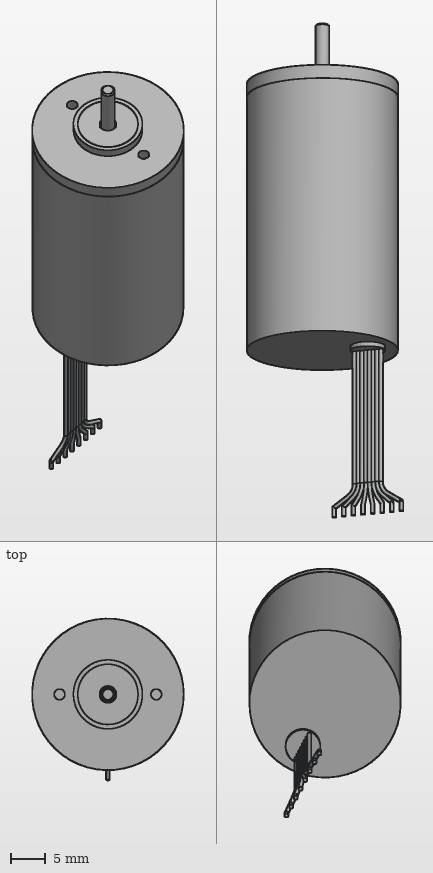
import cadquery as cq
import math


sleeve_diameter = 21.9
body_length = 39.9
cap_diameter = 22.0
cap_thickness = 2.0

boss_diameter = 10.0
boss_height = 1.3
boss_recess_diameter = 8.7
boss_recess_depth = 0.1
shaft_diameter = 2.0
shaft_extension = 7.6
shaft_chamfer = 0.2
shaft_clearance_diameter = 2.45

mount_hole_diameter = 1.55
pitch_circle_diameter = 14.0

cable_offset = pitch_circle_diameter / 2
gland_diameter = 5.0
gland_height = 0.7

wire_count = 8
wire_diameter = 0.63
wire_pitch = 0.58
ribbon_end_depth = 20.5

lead_diameter = 0.6
lead_pitch = 1.5
fan_height = 3.25
fan_bend_height = 1.2
cable_end_depth = 25.2

cap_bottom = body_length - cap_thickness
boss_top = body_length + boss_height


def cylinder(diameter, bottom, top, x=0, y=0):
    """Vertical cylinder between two heights."""
    return cq.Workplane("XY", origin=(x, y, bottom)).circle(diameter / 2).extrude(top - bottom)


def make_housing():
    """Sleeve and cap with the recessed boss, shaft clearance and mounting holes."""
    housing = cylinder(sleeve_diameter, 0, cap_bottom)
    housing = housing.union(cylinder(cap_diameter, cap_bottom, body_length))
    housing = housing.union(cylinder(boss_diameter, body_length, boss_top))
    housing = housing.cut(cylinder(boss_recess_diameter, boss_top - boss_recess_depth, boss_top))
    housing = housing.cut(cylinder(shaft_clearance_diameter, body_length, boss_top))
    for side in (-1, 1):
        hole_x = side * pitch_circle_diameter / 2
        housing = housing.cut(cylinder(mount_hole_diameter, cap_bottom, body_length, x=hole_x))
    return housing


def make_shaft():
    """Output shaft rooted in the cap and rising through the boss."""
    shaft = cylinder(shaft_diameter, cap_bottom, boss_top + shaft_extension)
    return shaft.faces(">Z").chamfer(shaft_chamfer)


def make_lead(start_y, end_y):
    """Wire end: an arc leaving the ribbon vertically, a tangent slope, then a straight tip."""
    start_z = -ribbon_end_depth
    slope_end_z = start_z - fan_height
    slope_angle = math.atan2(end_y - start_y, fan_height - fan_bend_height)

    radius = fan_bend_height / math.tan(slope_angle / 2)
    arc_middle = (
        start_y + radius * (1 - math.cos(slope_angle / 2)),
        start_z - radius * math.sin(slope_angle / 2),
    )
    arc_end = (
        start_y + radius * (1 - math.cos(slope_angle)),
        start_z - radius * math.sin(slope_angle),
    )
    path = (
        cq.Workplane("YZ")
        .moveTo(start_y, start_z)
        .threePointArc(arc_middle, arc_end)
        .lineTo(end_y, slope_end_z)
        .lineTo(end_y, -cable_end_depth)
    )
    profile = cq.Workplane("XY", origin=(0, start_y, start_z)).circle(lead_diameter / 2)
    return profile.sweep(path, transition="round")


def make_cable():
    """Gland, ribbon of joined wires and their spread ends."""
    cable = cylinder(gland_diameter, -gland_height, 0, y=-cable_offset)
    for index in range(wire_count):
        place = index - (wire_count - 1) / 2
        wire_y = place * wire_pitch - cable_offset
        lead_y = place * lead_pitch - cable_offset
        cable = cable.union(cylinder(wire_diameter, -ribbon_end_depth, -gland_height, y=wire_y))
        cable = cable.union(make_lead(wire_y, lead_y))
    return cable


result = make_housing().union(make_shaft()).union(make_cable())